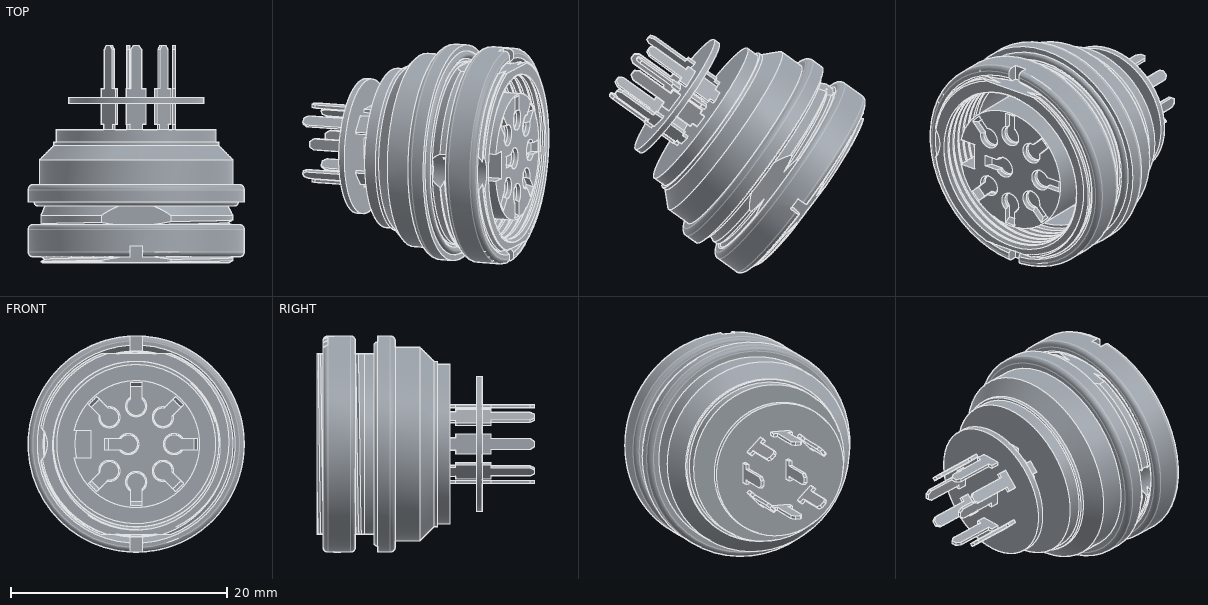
import cadquery as cq
import math


FLANGE_RADIUS = 10.0
FLANGE_FRONT = 5.6
FLANGE_BACK = 7.25
FLANGE_ROUND = 0.5
SEAL_RADIUS = 9.45
SEAL_SECTION_RADIUS = 0.35
SEAL_FRONT = FLANGE_FRONT - SEAL_SECTION_RADIUS
BARREL_RADIUS = 8.97
BARREL_END = 9.5
RIM_RADIUS = 7.65
RIM_FRONT = 10.83
RIM_BACK = 11.15
REAR_RADIUS = 7.4
REAR_FACE = 12.3

THREAD_PITCH = 0.75
OUTER_CREST = 8.95
OUTER_ROOT = 8.5
OUTER_MOUTH_RADIUS = 8.77
OUTER_MOUTH_BEVEL = 0.12
OUTER_GROOVE_WIDTH = 0.5
OUTER_GROOVE_END = 4.1
OUTER_START_ANGLE = 20
RELIEF_START = 4.37
FLAT_HEIGHT = 8.35
KEY_RADIUS = 2.3
KEY_BOTTOM = 8.2

INNER_CREST = 7.65
INNER_ROOT = 7.95
INNER_GROOVE_WIDTH = 0.55
INNER_GROOVE_END = 4.3
INNER_START_ANGLE = 80
THREAD_END = 4.6
BORE_RADIUS = 7.35
BORE_FLOOR = 9.0

NUT_RADIUS = 10.0
NUT_FRONT = 0.55
NUT_BACK = 3.55
NUT_ROUND = 0.45
NUT_MOUTH_RADIUS = 9.15
NUT_BORE_RADIUS = 8.6
NUT_SLOT_WIDTH = 1.18
NUT_SLOT_DEPTH = 1.02

INSERT_RADIUS = 5.87
INSERT_FRONT = 0.0
NOTCH_HALF_WIDTH = 1.27
NOTCH_BOTTOM = 4.18
NOTCH_WELL_RADIUS = 5.65
NOTCH_WELL_DEPTH = 0.5
HOLE_RADIUS = 0.98
HOLE_FLOOR_RADIUS = 0.86
HOLE_BEVEL_DEPTH = 0.35
HOLE_DEPTH = 0.6
KEYHOLE_WIDTH = 1.06
KEYHOLE_REACH = 2.18
KEYHOLE_END_SLOPE = 0.35

CONTACT_CIRCLE = 3.5
CENTRE_CONTACT_X = -0.73
CONTACT_ANGLES = [45 * step for step in range(-3, 4)]

PIN_THICKNESS = 0.3
PIN_NECK_WIDTH = 1.18
PIN_BODY_WIDTH = 1.86
PIN_TAIL_WIDTH = 1.04
PIN_TIP_WIDTH = 0.5
PIN_BODY_START = 12.8
PIN_BODY_END = 16.1
PIN_TIP_LENGTH = 0.4
PIN_END = 20.1
PIN_EMBEDMENT = 0.5
PIN_ROOT = REAR_FACE - PIN_EMBEDMENT
BOARD_RADIUS = 6.25
BOARD_FRONT = 14.72
BOARD_BACK = 15.28


def turned(profile):
    """Solid of revolution about Y from (radius, y) points."""
    return cq.Workplane("XY").polyline(profile).close().revolve(360, (0, 0, 0), (0, 1, 0))


def cylinder(radius, y_start, y_end):
    """Cylinder on the Y axis."""
    disc = cq.Workplane("XZ", origin=(0, y_start, 0)).circle(radius)
    return disc.extrude(-(y_end - y_start))


def box(x_range, y_range, z_range):
    """Axis-aligned block given its limits on each axis."""
    size = [end - start for start, end in (x_range, y_range, z_range)]
    corner = (x_range[0], y_range[0], z_range[0])
    return cq.Workplane("XY").box(*size, centered=False).translate(corner)


def thread_groove(crest, root, mouth_width, y_end, start_angle):
    """Right-handed V groove about Y, coming in through the mating face."""
    y_start = -THREAD_PITCH
    outward = math.copysign(1, root - crest)
    clearance = 0.1
    half_mouth = mouth_width / 2 * (1 + clearance / abs(root - crest))
    mouth = crest - outward * clearance
    path = cq.Wire.makeHelix(THREAD_PITCH, y_end - y_start, crest)
    groove = (
        cq.Workplane("XZ")
        .polyline([(mouth, -half_mouth), (root, 0), (mouth, half_mouth)])
        .close()
        .sweep(cq.Workplane(obj=path), isFrenet=True)
    )
    groove = groove.rotate((0, 0, 0), (1, 0, 0), -90)
    return groove.rotate((0, 0, 0), (0, 1, 0), start_angle).translate((0, y_start, 0))


def make_housing():
    front_sleeve = turned([
        (0, 0),
        (OUTER_MOUTH_RADIUS, 0),
        (OUTER_CREST, OUTER_MOUTH_BEVEL),
        (OUTER_CREST, RELIEF_START),
        (OUTER_ROOT, SEAL_FRONT),
        (OUTER_ROOT, FLANGE_FRONT),
        (0, FLANGE_FRONT),
    ])
    front_sleeve = front_sleeve.cut(thread_groove(
        OUTER_CREST, OUTER_ROOT, OUTER_GROOVE_WIDTH, OUTER_GROOVE_END, OUTER_START_ANGLE
    ))
    for side in (-1, 1):
        limits = sorted((side * FLAT_HEIGHT, side * FLANGE_RADIUS))
        front_sleeve = front_sleeve.cut(
            box((-FLANGE_RADIUS, FLANGE_RADIUS), (0, SEAL_FRONT), limits)
        )
    key_groove = cylinder(KEY_RADIUS, 0, SEAL_FRONT).rotate((0, 0, 0), (0, 1, 0), 180)
    key_groove = key_groove.translate((-KEY_BOTTOM - KEY_RADIUS, 0, 0))
    front_sleeve = front_sleeve.cut(key_groove)

    seal_centre = SEAL_RADIUS - SEAL_SECTION_RADIUS
    seal = (
        cq.Workplane("XY")
        .center(seal_centre, FLANGE_FRONT)
        .circle(SEAL_SECTION_RADIUS)
        .revolve(360, (-seal_centre, 0, 0), (-seal_centre, 1, 0))
    )
    flange = cylinder(FLANGE_RADIUS, FLANGE_FRONT, FLANGE_BACK)
    flange = flange.faces(">Y").edges().fillet(FLANGE_ROUND)
    rear_shell = turned([
        (0, FLANGE_BACK),
        (BARREL_RADIUS, FLANGE_BACK),
        (BARREL_RADIUS, BARREL_END),
        (RIM_RADIUS, RIM_FRONT),
        (RIM_RADIUS, RIM_BACK),
        (REAR_RADIUS, RIM_BACK),
        (REAR_RADIUS, REAR_FACE),
        (0, REAR_FACE),
    ])
    return front_sleeve.union(seal).union(flange).union(rear_shell)


def make_socket_bore():
    return turned([
        (0, 0),
        (INNER_CREST, 0),
        (INNER_CREST, THREAD_END),
        (BORE_RADIUS, THREAD_END),
        (BORE_RADIUS, BORE_FLOOR),
        (0, BORE_FLOOR),
    ])


def make_nut():
    bevel = NUT_MOUTH_RADIUS - NUT_BORE_RADIUS
    nut = cylinder(NUT_RADIUS, NUT_FRONT, NUT_BACK)
    nut = nut.edges().fillet(NUT_ROUND)
    nut = nut.cut(turned([
        (0, NUT_FRONT),
        (NUT_MOUTH_RADIUS, NUT_FRONT),
        (NUT_BORE_RADIUS, NUT_FRONT + bevel),
        (NUT_BORE_RADIUS, NUT_BACK - bevel),
        (NUT_MOUTH_RADIUS, NUT_BACK),
        (0, NUT_BACK),
    ]))
    slot_half = NUT_SLOT_WIDTH / 2
    return nut.cut(box(
        (-slot_half, slot_half),
        (NUT_FRONT, NUT_FRONT + NUT_SLOT_DEPTH),
        (-NUT_RADIUS, NUT_RADIUS),
    ))


def make_keyhole():
    """Contact opening at the origin, its slot pointing to +X."""
    hole = turned([
        (0, INSERT_FRONT),
        (HOLE_RADIUS, INSERT_FRONT),
        (HOLE_FLOOR_RADIUS, INSERT_FRONT + HOLE_BEVEL_DEPTH),
        (HOLE_FLOOR_RADIUS, INSERT_FRONT + HOLE_DEPTH),
        (0, INSERT_FRONT + HOLE_DEPTH),
    ])
    slot = (
        cq.Workplane("XY", origin=(0, 0, -KEYHOLE_WIDTH / 2))
        .polyline([
            (0, INSERT_FRONT),
            (KEYHOLE_REACH, INSERT_FRONT),
            (KEYHOLE_REACH - KEYHOLE_END_SLOPE, INSERT_FRONT + HOLE_DEPTH),
            (0, INSERT_FRONT + HOLE_DEPTH),
        ])
        .close()
        .extrude(KEYHOLE_WIDTH)
    )
    return hole.union(slot)


def make_pin():
    """Flat stepped pin at the origin, its thickness along X."""
    right_side = [
        (PIN_NECK_WIDTH / 2, PIN_ROOT),
        (PIN_NECK_WIDTH / 2, PIN_BODY_START),
        (PIN_BODY_WIDTH / 2, PIN_BODY_START),
        (PIN_BODY_WIDTH / 2, PIN_BODY_END),
        (PIN_TAIL_WIDTH / 2, PIN_BODY_END),
        (PIN_TAIL_WIDTH / 2, PIN_END - PIN_TIP_LENGTH),
        (PIN_TIP_WIDTH / 2, PIN_END),
    ]
    left_side = [(-half_width, y) for half_width, y in reversed(right_side)]
    flat = cq.Workplane("XY").polyline(right_side + left_side).close()
    return flat.extrude(PIN_THICKNESS / 2, both=True).rotate((0, 0, 0), (0, 1, 0), 90)


def at_contacts(shape):
    """Copies of a shape at every contact, with its +X side turned outward."""
    copies = [
        shape.translate((CONTACT_CIRCLE, 0, 0)).rotate((0, 0, 0), (0, 1, 0), angle)
        for angle in CONTACT_ANGLES
    ]
    copies.append(shape.rotate((0, 0, 0), (0, 1, 0), 180).translate((CENTRE_CONTACT_X, 0, 0)))
    return copies


def make_insert():
    insert = cylinder(INSERT_RADIUS, INSERT_FRONT, BORE_FLOOR)
    insert = insert.cut(box(
        (-INSERT_RADIUS, -NOTCH_BOTTOM),
        (INSERT_FRONT, BORE_FLOOR),
        (-NOTCH_HALF_WIDTH, NOTCH_HALF_WIDTH),
    ))
    for keyhole in at_contacts(make_keyhole()):
        insert = insert.cut(keyhole)
    return insert


def make_notch_well():
    """Deeper end of the notch, sunk below the bore floor and closed by an arc."""
    well_end = BORE_FLOOR + NOTCH_WELL_DEPTH
    return cylinder(NOTCH_WELL_RADIUS, BORE_FLOOR, well_end).intersect(box(
        (-NOTCH_WELL_RADIUS, -NOTCH_BOTTOM),
        (BORE_FLOOR, well_end),
        (-NOTCH_HALF_WIDTH, NOTCH_HALF_WIDTH),
    ))


def make_connector():
    connector = make_housing().union(make_nut()).cut(make_socket_bore())
    connector = connector.cut(thread_groove(
        INNER_CREST, INNER_ROOT, INNER_GROOVE_WIDTH, INNER_GROOVE_END, INNER_START_ANGLE
    ))
    connector = connector.union(make_insert()).cut(make_notch_well())
    connector = connector.union(cylinder(BOARD_RADIUS, BOARD_FRONT, BOARD_BACK))
    for pin in at_contacts(make_pin()):
        connector = connector.union(pin)
    return connector


result = make_connector()